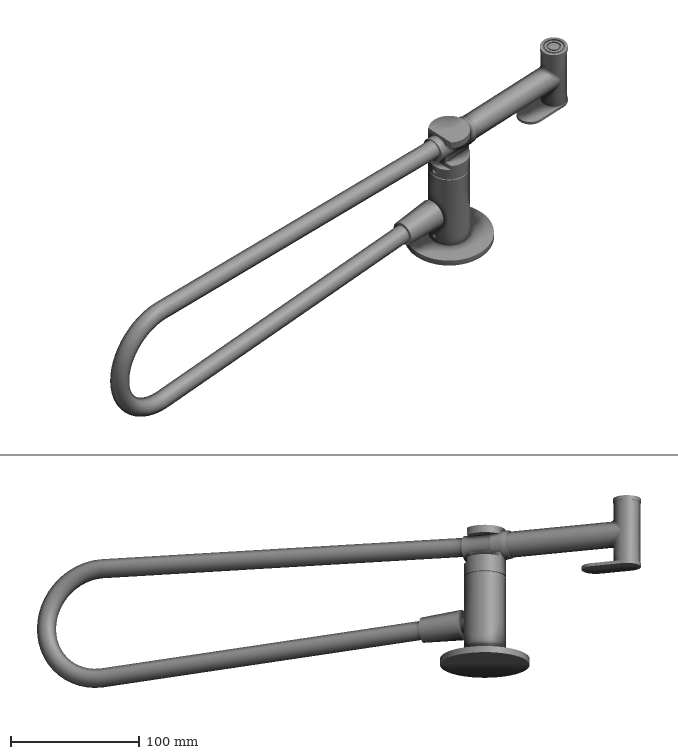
import cadquery as cq

FLANGE_DIAMETER = 70.0
FLANGE_THICKNESS = 5.0

COLUMN_RADIUS = 16.5
COLUMN_TOP = 109.0
SPLIT_HEIGHT = 72.0
SPLIT_GROOVE_WIDTH = 1.0
SPLIT_GROOVE_DEPTH = 1.0

SCREW_HOLE_RADIUS = 2.25
SCREW_HOLE_DEPTH = 2.5
BASE_SCREW_HEIGHT = 11.0
HEAD_SCREW_HEIGHT = 76.5

FLAT_Y = -10.5
FLAT_BOTTOM = 81.5
NOTCH_X = 7.0
NOTCH_BOTTOM = 85.5
NOTCH_TOP = 103.0

SPOUT_X = -1.5
SPOUT_Z = 96.5
SPOUT_DIAMETER = 20.5
SPOUT_RADIUS = SPOUT_DIAMETER / 2
SPOUT_FRONT_Y = -COLUMN_RADIUS

COLLAR_RADIUS = 11.5
COLLAR_START_Y = 7.5
COLLAR_TAPER_Y = 17.0
COLLAR_END_Y = 21.0
COLLAR_END_RADIUS = 11.0

OUTLET_RADIUS = 10.5
OUTLET_Y = 116.5
OUTLET_BOTTOM = 69.0
OUTLET_TOP = 124.0
TAB_RADIUS = 11.0
TAB_THICKNESS = 2.5
TAB_LENGTH = 26.0
MITRE_FILLET = 2.5

CAP_RADIUS = 11.0
CAP_THICKNESS = 3.0
CAP_GROOVE_RADII = (5.0, 8.0)
CAP_GROOVE_WIDTH = 1.5
CAP_GROOVE_DEPTH = 1.5

CUFF_NECK_RADIUS = 6.5
CUFF_START_RADIUS = 12.0
CUFF_START_Y = -18.0
CUFF_START_Z = 34.0
CUFF_END_RADIUS = 10.0
CUFF_END_Y = -51.0
CUFF_END_Z = 33.5

HANDLE_RADIUS = 7.5
HANDLE_TOP_START_Z = 98.0
BEND_START_Y = -316.5
BEND_TOP = (SPOUT_X, 109.0)
BEND_BOTTOM = (0, 20.0)


def disc(radius, bottom, top, x=0, y=0):
    """Upright cylinder between two heights."""
    return cq.Workplane("XY", origin=(x, y, bottom)).circle(radius).extrude(top - bottom)


def rod(radius, x, z, start_y, end_y):
    """Cylinder along Y between two positions."""
    return cq.Workplane("XZ", origin=(x, start_y, z)).circle(radius).extrude(start_y - end_y)


def tapered_rod(start, start_radius, end, end_radius):
    """Straight rod between two circles that both face along Y."""
    facing = cq.Vector(0, 1, 0)
    start_circle = cq.Wire.makeCircle(start_radius, cq.Vector(*start), facing)
    end_circle = cq.Wire.makeCircle(end_radius, cq.Vector(*end), facing)
    return cq.Workplane(cq.Solid.makeLoft([start_circle, end_circle], True))


def screw_hole(z):
    """Shallow hole into the -Y side of the column."""
    return rod(SCREW_HOLE_RADIUS, 0, z, -COLUMN_RADIUS + SCREW_HOLE_DEPTH, -COLUMN_RADIUS - SCREW_HOLE_DEPTH)


def make_flange():
    return disc(FLANGE_DIAMETER / 2, 0, FLANGE_THICKNESS)


def make_column_base():
    groove_bottom = SPLIT_HEIGHT - SPLIT_GROOVE_WIDTH
    column = disc(COLUMN_RADIUS, FLANGE_THICKNESS, groove_bottom)
    spigot = disc(COLUMN_RADIUS - SPLIT_GROOVE_DEPTH, groove_bottom, SPLIT_HEIGHT)
    neck = rod(CUFF_NECK_RADIUS, 0, CUFF_START_Z, 0, CUFF_START_Y)
    cuff = tapered_rod(
        (0, CUFF_START_Y, CUFF_START_Z), CUFF_START_RADIUS, (0, CUFF_END_Y, CUFF_END_Z), CUFF_END_RADIUS
    )
    return column.union(spigot).union(neck).union(cuff).cut(screw_hole(BASE_SCREW_HEIGHT))


def make_collar():
    collar = rod(COLLAR_RADIUS, SPOUT_X, SPOUT_Z, COLLAR_START_Y, COLLAR_TAPER_Y)
    taper = tapered_rod(
        (SPOUT_X, COLLAR_TAPER_Y, SPOUT_Z), COLLAR_RADIUS, (SPOUT_X, COLLAR_END_Y, SPOUT_Z), COLLAR_END_RADIUS
    )
    return collar.union(taper)


def make_valve_head():
    head = disc(COLUMN_RADIUS, SPLIT_HEIGHT, COLUMN_TOP)
    span = 2 * COLUMN_RADIUS
    flat = cq.Workplane("XY").box(2 * span, span, span, centered=(True, False, False))
    head = head.cut(flat.translate((0, FLAT_Y - span, FLAT_BOTTOM)))
    notch = cq.Workplane("XY").box(span, 2 * span, NOTCH_TOP - NOTCH_BOTTOM, centered=(False, True, False))
    head = head.cut(notch.translate((NOTCH_X, 0, NOTCH_BOTTOM)))
    tube_bore = rod(SPOUT_RADIUS, SPOUT_X, SPOUT_Z, COLLAR_END_Y, SPOUT_FRONT_Y)
    return head.cut(tube_bore).cut(make_collar()).cut(screw_hole(HEAD_SCREW_HEIGHT))


def make_spout():
    tube = rod(SPOUT_RADIUS, SPOUT_X, SPOUT_Z, OUTLET_Y, SPOUT_FRONT_Y)
    outlet = disc(OUTLET_RADIUS, OUTLET_BOTTOM, OUTLET_TOP - CAP_THICKNESS, SPOUT_X, OUTLET_Y)
    reach = OUTLET_RADIUS + MITRE_FILLET
    mitre = cq.selectors.BoxSelector(
        (SPOUT_X - reach, OUTLET_Y - reach, SPOUT_Z - reach), (SPOUT_X + reach, OUTLET_Y, SPOUT_Z + reach)
    )
    spout = outlet.union(tube).edges(mitre).fillet(MITRE_FILLET)
    tab = (
        cq.Workplane("XY", origin=(SPOUT_X, OUTLET_Y - TAB_LENGTH / 2, OUTLET_BOTTOM))
        .slot2D(TAB_LENGTH + 2 * TAB_RADIUS, 2 * TAB_RADIUS, 90)
        .extrude(TAB_THICKNESS)
    )
    return spout.union(make_collar()).union(tab)


def make_outlet_cap():
    cap_bottom = OUTLET_TOP - CAP_THICKNESS
    groove_bottom = OUTLET_TOP - CAP_GROOVE_DEPTH
    cap = disc(CAP_RADIUS, cap_bottom, OUTLET_TOP, SPOUT_X, OUTLET_Y)
    for radius in CAP_GROOVE_RADII:
        outer = disc(radius + CAP_GROOVE_WIDTH / 2, groove_bottom, OUTLET_TOP, SPOUT_X, OUTLET_Y)
        inner = disc(radius - CAP_GROOVE_WIDTH / 2, groove_bottom, OUTLET_TOP, SPOUT_X, OUTLET_Y)
        cap = cap.cut(outer.cut(inner))
    return cap


def make_handle():
    top = cq.Vector(BEND_TOP[0], BEND_START_Y, BEND_TOP[1])
    bottom = cq.Vector(BEND_BOTTOM[0], BEND_START_Y, BEND_BOTTOM[1])
    upper_tube = tapered_rod(
        (SPOUT_X, SPOUT_FRONT_Y, HANDLE_TOP_START_Z), HANDLE_RADIUS, top.toTuple(), HANDLE_RADIUS
    )
    lower_tube = tapered_rod((0, CUFF_END_Y, CUFF_END_Z), HANDLE_RADIUS, bottom.toTuple(), HANDLE_RADIUS)
    across = (top - bottom).cross(cq.Vector(0, 1, 0))
    bend_plane = cq.Plane((top + bottom) * 0.5, xDir=across, normal=(0, -1, 0))
    bend_radius = (top - bottom).Length / 2
    bend = (
        cq.Workplane(bend_plane)
        .center(0, bend_radius)
        .circle(HANDLE_RADIUS)
        .revolve(180, (0, -bend_radius), (1, -bend_radius))
    )
    return upper_tube.union(bend).union(lower_tube)


flange = make_flange()
column_base = make_column_base()
valve_head = make_valve_head()
spout = make_spout()
outlet_cap = make_outlet_cap()
handle = make_handle()

result = cq.Compound.makeCompound(
    [flange.val(), column_base.val(), valve_head.val(), spout.val(), outlet_cap.val(), handle.val()]
)